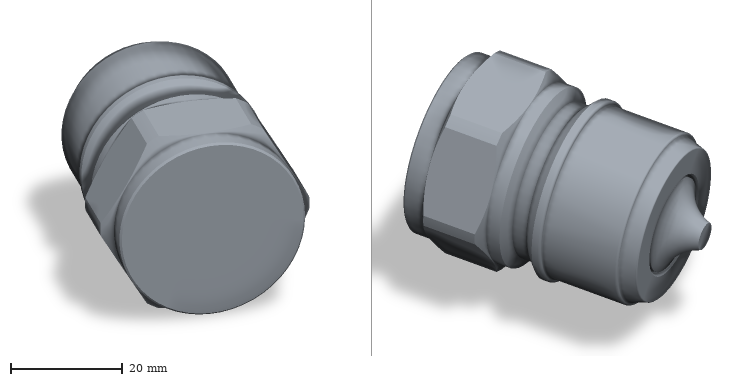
import cadquery as cq
import math

total_length = 52.2

nose_x = 6.2
nose_radius = 14.8
nose_round = 0.25
nose_taper_end_x = 9.05
nose_taper_end_radius = 15.65
step_x = 9.4
step_radius = 16.1
step_round = 0.4
barrel_start_x = 9.8
barrel_radius = 16.5

collar_x = 24.15
collar_end_x = 26.15
collar_radius = 17.35
collar_root_fillet = 0.3
collar_edge_round = collar_radius - barrel_radius - collar_root_fillet
groove_start_x = 28.45
groove_end_x = 31.2
groove_radius = 15.0
shoulder_x = 32.6
rear_chamfer = 0.35

hex_start_x = 35.3
hex_end_x = 48.2
hex_across_flats = 35.0
hex_across_corners = 39.0
hex_chamfer_angle = 30.0

tip_radius = 2.6
tip_mid_x = 3.95
tip_mid_radius = 4.95
tip_end_x = 6.4
tip_end_radius = 9.05
mouth_radius = 9.8
mouth_chamfer = 0.3
gap_depth = 1.55


def make_body():
    """Revolved shell with the mouth gap and valve tip in one profile."""
    bore_radius = mouth_radius - mouth_chamfer
    gap_floor_x = nose_x + gap_depth
    collar_face_x = collar_x + collar_root_fillet
    profile = (
        cq.Workplane("XY")
        .moveTo(0, 0)
        .lineTo(0, tip_radius)
        .threePointArc((tip_mid_x, tip_mid_radius), (tip_end_x, tip_end_radius))
        .lineTo(gap_floor_x, tip_end_radius)
        .lineTo(gap_floor_x, bore_radius)
        .lineTo(nose_x + mouth_chamfer, bore_radius)
        .lineTo(nose_x, mouth_radius)
        .lineTo(nose_x, nose_radius - nose_round)
        .radiusArc((nose_x + nose_round, nose_radius), nose_round)
        .lineTo(nose_taper_end_x, nose_taper_end_radius)
        .tangentArcPoint((step_x, step_radius), relative=False)
        .radiusArc((barrel_start_x, barrel_radius), step_round)
        .lineTo(collar_x, barrel_radius)
        .radiusArc((collar_face_x, barrel_radius + collar_root_fillet), -collar_root_fillet)
        .radiusArc((collar_face_x + collar_edge_round, collar_radius), collar_edge_round)
        .lineTo(collar_end_x, collar_radius)
        .lineTo(groove_start_x, groove_radius)
        .lineTo(groove_end_x, groove_radius)
        .lineTo(shoulder_x, collar_radius)
        .lineTo(total_length - rear_chamfer, collar_radius)
        .lineTo(total_length, collar_radius - rear_chamfer)
        .lineTo(total_length, 0)
        .close()
    )
    return profile.revolve(360, (0, 0, 0), (1, 0, 0))


def make_hexagon():
    """Hexagon with corners on Y, chamfered conically at both ends."""
    sharp_across_corners = hex_across_flats / math.cos(math.radians(30))
    prism = (
        cq.Workplane("YZ")
        .workplane(offset=hex_start_x)
        .polygon(6, sharp_across_corners)
        .extrude(hex_end_x - hex_start_x)
    )
    hex_corner_radius = hex_across_corners / 2
    chamfer_height = hex_corner_radius - collar_radius
    chamfer_length = chamfer_height * math.tan(math.radians(hex_chamfer_angle))
    envelope = (
        cq.Workplane("XY")
        .moveTo(hex_start_x, 0)
        .lineTo(hex_start_x, collar_radius)
        .lineTo(hex_start_x + chamfer_length, hex_corner_radius)
        .lineTo(hex_end_x - chamfer_length, hex_corner_radius)
        .lineTo(hex_end_x, collar_radius)
        .lineTo(hex_end_x, 0)
        .close()
        .revolve(360, (0, 0, 0), (1, 0, 0))
    )
    return prism.intersect(envelope)


result = make_body().union(make_hexagon())